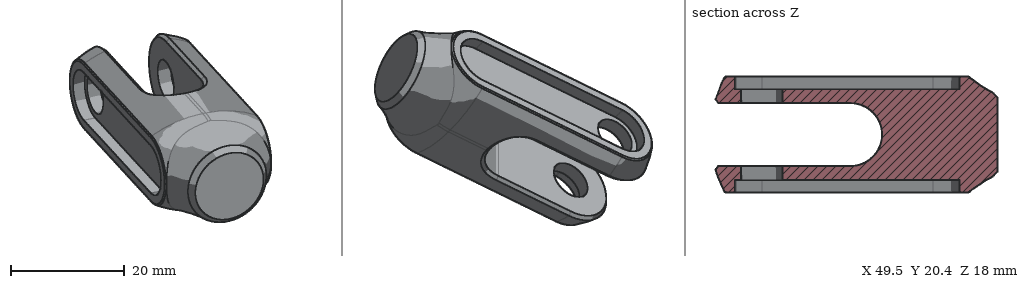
import cadquery as cq
import math

end_spacing = 30.0
body_width = 20.4
body_height = 18.0
crown_radius = 20.6
crown_flat = 0.6
edge_break_depth = 0.2
edge_break_rise = 0.3

slot_width = 11.0
slot_center = 15.6
slot_chamfer = 0.7
pin_hole_diameter = 7.25
pocket_radius = 4.7
pocket_depth = 2.2

shank_radius = 7.5
shank_chamfer = 1.0
shank_end = 41.4
seam_start = 32.4
seam_radius = 17.4
blend_steps = 8
crown_power = 1.6
flare_power = 1.2

half_width = body_width / 2
half_height = body_height / 2
half_flat = crown_flat / 2
shank_rim = shank_end - shank_chamfer
tool_length = 2 * shank_end


def crown_height(y):
    """Height of the crown above the middle plane at a distance y from the center."""
    reach = max(abs(y) - half_flat, 0.0)
    return half_height - crown_radius + math.sqrt(crown_radius**2 - reach**2)


bevel_y = half_width - edge_break_depth
bevel_z = crown_height(bevel_y)
side_radius = bevel_z - edge_break_rise
arc_mid_y = (half_flat + bevel_y) / 2


def half_section(plane):
    """Upper half of the body cross-section: local x along Y, local y away from the axis."""
    return (
        cq.Workplane(plane)
        .moveTo(-half_width, 0)
        .lineTo(-half_width, side_radius)
        .lineTo(-bevel_y, bevel_z)
        .threePointArc((-arc_mid_y, crown_height(arc_mid_y)), (-half_flat, half_height))
        .lineTo(half_flat, half_height)
        .threePointArc((arc_mid_y, crown_height(arc_mid_y)), (bevel_y, bevel_z))
        .lineTo(half_width, side_radius)
        .lineTo(half_width, 0)
        .close()
    )


def round_end(x, turn_axis):
    """Half turn of the cross-section about an axis along Y."""
    return half_section(cq.Plane.YZ(origin=(x, 0, 0))).revolve(180, (0, 0), turn_axis)


def make_body():
    upper = half_section("YZ").extrude(end_spacing)
    straight = upper.union(upper.mirror("XY"))
    fork_end = round_end(0, (-1, 0))
    shank_side = round_end(end_spacing, (1, 0))
    return straight.union(fork_end).union(shank_side)


def cut_slot(body):
    """Open slot with a round bottom, chamfered where it leaves the body surface."""
    half_slot = slot_width / 2
    slot = (
        cq.Workplane("XY")
        .moveTo(-body_width, -half_slot)
        .lineTo(slot_center, -half_slot)
        .threePointArc((slot_center + half_slot, 0), (slot_center, half_slot))
        .lineTo(-body_width, half_slot)
        .close()
        .extrude(body_height, both=True)
    )
    slotted = body.cut(slot)
    margin = 0.01
    walls = half_slot + margin
    near_slot = cq.selectors.BoxSelector(
        (-body_width, -walls, -body_height),
        (slot_center + walls, walls, body_height),
        boundingbox=True,
    )
    rim = slotted.edges(near_slot).edges("not |Z")
    return rim.chamfer(slot_chamfer)


def blend_half_height(x):
    """Half height of the blend: rises from the shank rim and meets the crown at the seam."""
    start_height = math.sqrt(half_height**2 - (seam_start - end_spacing) ** 2)
    fraction = (shank_rim - x) / (shank_rim - seam_start)
    return shank_radius + (start_height - shank_radius) * fraction**crown_power


def blend_half_width(x):
    """Half width of the blend: widens from the shank rim, passing the body's side tip."""
    side_tip = end_spacing + side_radius
    fraction = (shank_rim - x) / (shank_rim - side_tip)
    return shank_radius + (half_width - shank_radius) * fraction**flare_power


def blend_ellipse(x):
    return cq.Wire.makeEllipse(
        blend_half_width(x),
        blend_half_height(x),
        cq.Vector(x, 0, 0),
        cq.Vector(1, 0, 0),
        cq.Vector(0, 1, 0),
    )


def make_shank():
    """Blend from the body to the round rim, then the chamfered end face."""
    step = (shank_rim - seam_start) / blend_steps
    stations = [seam_start + i * step for i in range(blend_steps)] + [shank_rim]
    blend = cq.Workplane(cq.Solid.makeLoft([blend_ellipse(x) for x in stations]))
    behind_seam = (
        cq.Workplane("XY")
        .center(seam_start + seam_radius, 0)
        .circle(seam_radius)
        .extrude(body_height, both=True)
    )
    between_sides = cq.Workplane("XY", origin=(shank_end, 0, 0)).box(tool_length, body_width, tool_length)
    tip = (
        cq.Workplane("YZ", origin=(shank_rim, 0, 0))
        .circle(shank_radius)
        .workplane(offset=shank_chamfer)
        .circle(shank_radius - shank_chamfer)
        .loft()
    )
    return blend.intersect(behind_seam).intersect(between_sides).union(tip)


def cut_side_pockets(body):
    """Matching long pockets, one sunk into each flat side."""
    pocket = (
        cq.Workplane("XZ", origin=(0, -half_width + pocket_depth, 0))
        .center(end_spacing / 2, 0)
        .slot2D(end_spacing + 2 * pocket_radius, 2 * pocket_radius)
        .extrude(2 * pocket_depth)
    )
    return body.cut(pocket).cut(pocket.mirror("XZ"))


def cut_pin_hole(body):
    pin = cq.Workplane("XZ").circle(pin_hole_diameter / 2).extrude(body_width, both=True)
    return body.cut(pin)


fork = cut_slot(make_body())
result = cut_pin_hole(cut_side_pockets(fork.union(make_shank())))